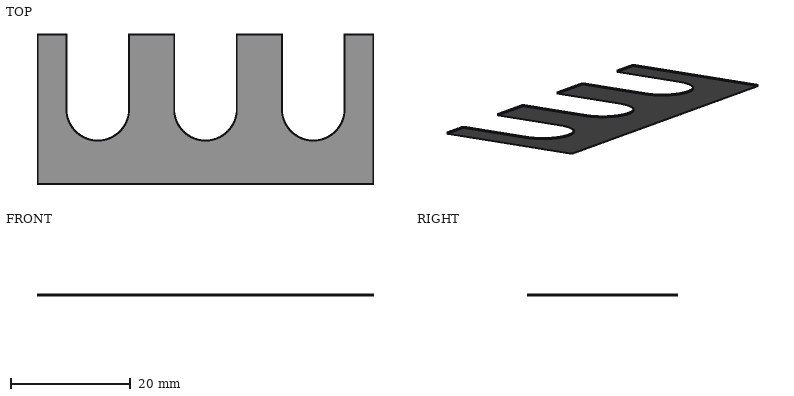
import cadquery as cq

length = 56.0
depth = 25.0
thickness = 0.25

slot_count = 3
slot_pitch = 18.0
slot_width = 10.4
slot_floor = 7.3

slot_radius = slot_width / 2
arc_center_y = -depth / 2 + slot_floor + slot_radius
straight_length = depth / 2 - arc_center_y


def slot_cutter(x):
    """Round end and straight sides of one slot centred at x."""
    round_end = cq.Workplane("XY").center(x, arc_center_y).circle(slot_radius).extrude(thickness)
    straight = (
        cq.Workplane("XY")
        .center(x, arc_center_y + straight_length / 2)
        .rect(slot_width, straight_length)
        .extrude(thickness)
    )
    return round_end.union(straight)


result = cq.Workplane("XY").rect(length, depth).extrude(thickness)
for index in range(slot_count):
    slot_x = (index - (slot_count - 1) / 2) * slot_pitch
    result = result.cut(slot_cutter(slot_x))